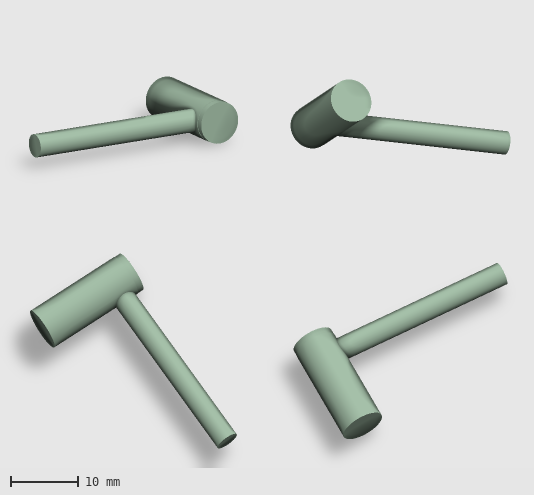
import cadquery as cq

overall_length = 33.25
head_length = 16.0

barrel_diameter = 6.5
cap_diameter = 6.4
cap_length = 1.0
barrel_length = head_length - cap_length

handle_diameter = 3.5
handle_x = 12.75
handle_length = overall_length - barrel_diameter / 2


def make_head():
    """Barrel along +X from the origin, ending in the narrower cap."""
    barrel = cq.Workplane("YZ").circle(barrel_diameter / 2).extrude(barrel_length)
    return barrel.faces(">X").workplane().circle(cap_diameter / 2).extrude(cap_length)


def make_handle():
    """Round bar that starts on the head axis and ends at -Y."""
    section = cq.Workplane("XZ", origin=(handle_x, 0, 0)).circle(handle_diameter / 2)
    return section.extrude(handle_length)


result = make_head().union(make_handle())